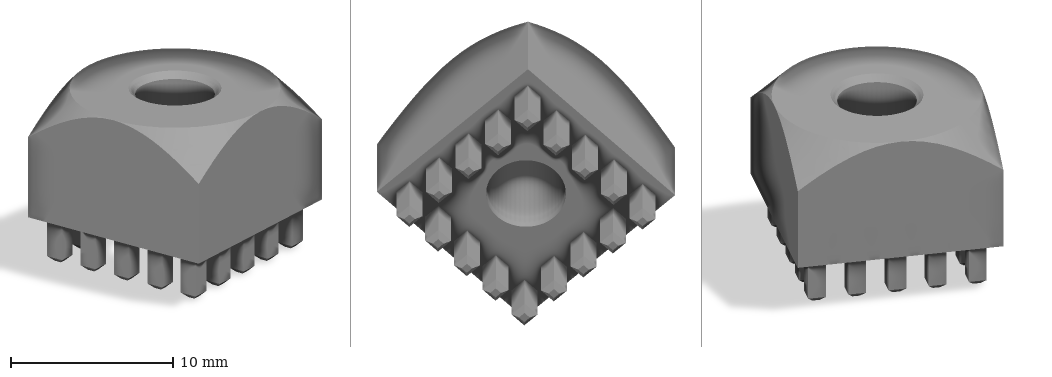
import cadquery as cq
import math

block_side = 13.0
block_height = 8.0
crown_angle = 45.0

hole_diameter = 4.92
hole_chamfer = 0.4

pins_per_side = 5
pin_pitch = 2.54
pin_width = 1.13
pin_length = 3.0
pin_tip_chamfer = 0.33


def crowned_block():
    """Square block whose top corners are turned down to a cone, leaving a round top face."""
    block = cq.Workplane("XY").box(block_side, block_side, block_height, centered=(True, True, False))
    top_radius = block_side / 2
    base_radius = top_radius + block_height / math.tan(math.radians(crown_angle))
    cone = cq.Workplane(cq.Solid.makeCone(base_radius, top_radius, block_height))
    return block.intersect(cone)


def centre_hole():
    """Through hole with a chamfered rim at the top face, as a cutting body."""
    radius = hole_diameter / 2
    bore = cq.Workplane("XY").circle(radius).extrude(block_height)
    rim = cq.Solid.makeCone(
        radius, radius + hole_chamfer, hole_chamfer, pnt=cq.Vector(0, 0, block_height - hole_chamfer)
    )
    return bore.union(cq.Workplane(rim))


def pin_positions():
    """Centres of the pins on the outer ring of the square grid."""
    last = pins_per_side - 1
    offsets = [(i - last / 2) * pin_pitch for i in range(pins_per_side)]
    edge = (offsets[0], offsets[last])
    return [(x, y) for x in offsets for y in offsets if x in edge or y in edge]


def pin_ring():
    """Square pins with bevelled tips, hanging from the underside of the block."""
    pins = cq.Workplane("XY").pushPoints(pin_positions()).rect(pin_width, pin_width).extrude(-pin_length)
    return pins.faces("<Z").chamfer(pin_tip_chamfer)


result = crowned_block().cut(centre_hole()).union(pin_ring())